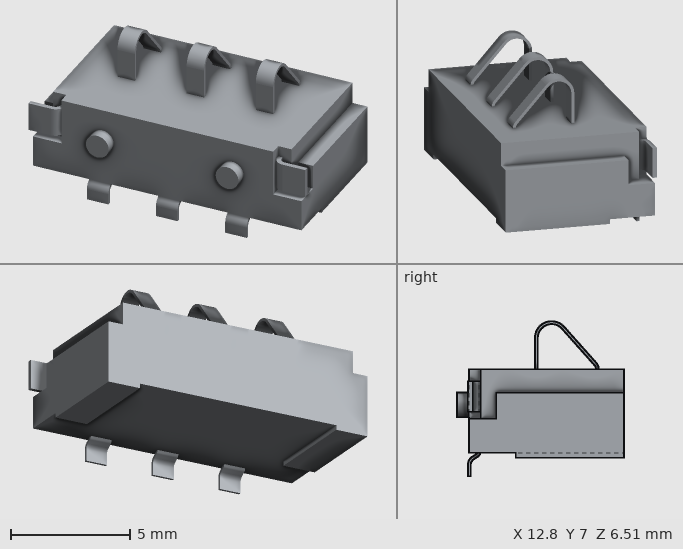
import cadquery as cq
import math


body_width = 12.42
body_depth = 6.5
body_height = 3.51
upper_width = 11.03
shelf_height = 2.52
front_notch_height = 1.42
front_notch_depth = 1.15
pocket_inner_width = 9.8
pocket_depth = 0.5

foot_length = 1.5
foot_height = 0.2
foot_front = 1.96

peg_diameter = 1.05
peg_length = 0.5
peg_spacing = 6.0
peg_height = 2.01

contact_pitch = 3.2
contact_positions = [-contact_pitch, 0, contact_pitch]
strip_thickness = 0.13
embed_length = 0.13

spring_width = 0.8
spring_top = 5.52
spring_front = 2.76
spring_loop_radius = 0.64
spring_slope = 48.3
spring_end_radius = 0.32

tail_width = 1.0
tail_bottom = -0.99
tail_bend_start = -0.49
tail_front = -0.04
tail_offset = 0.4
tail_bend = 56
tail_lower_radius = 0.32
tail_upper_radius = 0.13

tab_span = 12.8
tab_thickness = 0.2
tab_inner_radius = 0.24
tab_front = -0.04
tab_bottom = 1.72
tab_top = 3.01


def box(x_min, x_max, y_min, y_max, z_min, z_max):
    size = (x_max - x_min, y_max - y_min, z_max - z_min)
    return cq.Workplane("XY").box(*size, centered=False).translate((x_min, y_min, z_min))


def on_both_sides(shape):
    return shape.union(shape.mirror("YZ"))


def bent_strip(workplane, start, heading, moves, thickness):
    """Closed outline of a strip whose centre line follows the moves.

    Each move is (length, None) for a straight, or (turn, radius) for a bend.
    Angles are in degrees and left turns are positive.
    """
    u, v = start
    angle = math.radians(heading)
    half = thickness / 2

    def face_points(u, v, angle):
        du = -math.sin(angle) * half
        dv = math.cos(angle) * half
        return (u + du, v + dv), (u - du, v - dv)

    stations = [face_points(u, v, angle)]
    middles = []
    for amount, radius in moves:
        if radius is None:
            u += amount * math.cos(angle)
            v += amount * math.sin(angle)
            middles.append(None)
        else:
            half_turn = math.radians(amount) / 2
            side = math.copysign(radius, amount)
            centre_u = u - side * math.sin(angle)
            centre_v = v + side * math.cos(angle)
            for step in ("middle", "end"):
                angle += half_turn
                u = centre_u + side * math.sin(angle)
                v = centre_v - side * math.cos(angle)
                if step == "middle":
                    middles.append(face_points(u, v, angle))
        stations.append(face_points(u, v, angle))

    left, right = 0, 1
    outline = workplane.moveTo(*stations[0][left])
    for middle, end in zip(middles, stations[1:]):
        if middle is None:
            outline = outline.lineTo(*end[left])
        else:
            outline = outline.threePointArc(middle[left], end[left])
    outline = outline.lineTo(*stations[-1][right])
    for middle, end in zip(reversed(middles), reversed(stations[:-1])):
        if middle is None:
            outline = outline.lineTo(*end[right])
        else:
            outline = outline.threePointArc(middle[right], end[right])
    return outline.close()


def make_housing():
    half_body = body_width / 2
    half_upper = upper_width / 2
    housing = box(-half_body, half_body, 0, body_depth, 0, body_height)
    shelf = box(half_upper, half_body, 0, body_depth, shelf_height, body_height)
    notch = box(half_upper, half_body, 0, front_notch_depth, front_notch_height, body_height)
    pocket = box(pocket_inner_width / 2, half_body, 0, pocket_depth, front_notch_height, body_height)
    foot = box(half_body - foot_length, half_body, foot_front, body_depth, -foot_height, 0)
    return housing.cut(on_both_sides(shelf.union(notch).union(pocket))).union(on_both_sides(foot))


def make_pegs():
    return (
        cq.Workplane("XZ")
        .pushPoints([(-peg_spacing / 2, peg_height), (peg_spacing / 2, peg_height)])
        .circle(peg_diameter / 2)
        .extrude(peg_length)
    )


def make_spring():
    slope = math.radians(spring_slope)
    loop_height = spring_top - strip_thickness / 2 - spring_loop_radius
    end_rise = (spring_loop_radius - spring_end_radius) * math.cos(slope)
    slope_length = (loop_height - body_height + end_rise) / math.sin(slope)
    start = (spring_front + strip_thickness / 2, body_height - embed_length)
    moves = [
        (loop_height - start[1], None),
        (-90 - spring_slope, spring_loop_radius),
        (slope_length, None),
        (spring_slope - 90, spring_end_radius),
        (embed_length, None),
    ]
    outline = bent_strip(cq.Workplane("YZ"), start, 90, moves, strip_thickness)
    return outline.extrude(spring_width / 2, both=True)


def make_tail():
    bend = math.radians(tail_bend)
    bend_radii = tail_lower_radius + tail_upper_radius
    slope_length = (tail_offset - bend_radii * (1 - math.cos(bend))) / math.sin(bend)
    start = (tail_front + strip_thickness / 2, tail_bottom)
    moves = [
        (tail_bend_start - tail_bottom, None),
        (-tail_bend, tail_lower_radius),
        (slope_length, None),
        (tail_bend, tail_upper_radius),
        (embed_length, None),
    ]
    outline = bent_strip(cq.Workplane("YZ"), start, 90, moves, strip_thickness)
    return outline.extrude(tail_width / 2, both=True)


def make_tabs():
    bend_radius = tab_inner_radius + tab_thickness / 2
    start = (tab_span / 2, tab_front + tab_thickness / 2)
    bend_start = pocket_inner_width / 2 + tab_thickness + tab_inner_radius
    arm_length = pocket_depth + embed_length - start[1] - bend_radius
    moves = [
        (start[0] - bend_start, None),
        (-90, bend_radius),
        (arm_length, None),
    ]
    plane = cq.Workplane("XY").workplane(offset=tab_bottom)
    outline = bent_strip(plane, start, 180, moves, tab_thickness)
    return on_both_sides(outline.extrude(tab_top - tab_bottom))


result = make_housing().union(make_pegs()).union(make_tabs())
contact = make_spring().union(make_tail())
for x in contact_positions:
    result = result.union(contact.translate((x, 0, 0)))